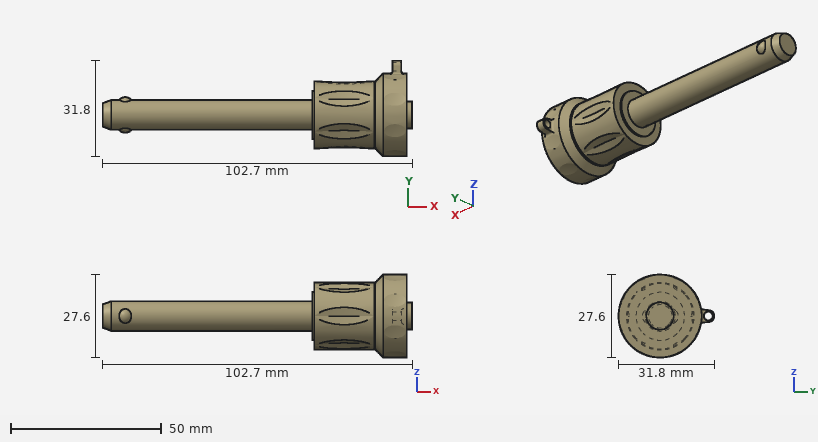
import cadquery as cq
import math

TOTAL_LENGTH = 102.7
WASHER_START = 69.5
SLEEVE_START = 70.1
SLEEVE_END = 90.1
CONE_START = 90.5
RIM_START = 93.0
HEAD_END = 101.0

SHANK_DIAMETER = 10.0
SHANK_RADIUS = SHANK_DIAMETER / 2
TIP_RADIUS = 3.9
WASHER_RADIUS = 8.0
SLEEVE_RADIUS = 11.2
GROOVE_RADIUS = 10.9
HEAD_DIAMETER = 27.6
HEAD_RADIUS = HEAD_DIAMETER / 2
BUTTON_RADIUS = 4.5

TIP_TAPER = 2.9

BALL_STATION = 7.5
BALL_RADIUS = 2.6
BALL_REACH = 6.0

FLUTE_COUNT = 6
FLUTE_LENGTH = 19.5
FLUTE_DEPTH = 0.9
FLUTE_HALF_WIDTH = 2.9

DIMPLE_COUNT = 8
DIMPLE_RADIUS = 19.0
DIMPLE_DEPTH = 0.34
DIMPLE_STATION = 97.0

EYE_CENTER_Y = 16.0
OVERALL_WIDTH_Y = 31.8
EYE_TIP_Y = OVERALL_WIDTH_Y - HEAD_RADIUS
EYE_HOLE_RADIUS = 1.4
EYE_START = 96.1
EYE_WIDTH = 3.0
EYE_ROOT_Y = 12.8
EYE_ROOT_HALF_HEIGHT = 2.4
EYE_FILLET = 0.7
JOINT_HALF_HEIGHT = 3.6
JOINT_MARGIN = 0.2


def sphere_at(radius, x, y):
    return cq.Workplane("XY").sphere(radius).translate((x, y, 0))


def about_axis(shape, angle):
    return shape.rotate((0, 0, 0), (1, 0, 0), angle)


def make_body():
    """Shank, washer, sleeve, head and button as one turned profile."""
    profile = [
        (0, 0),
        (0, TIP_RADIUS),
        (TIP_TAPER, SHANK_RADIUS),
        (WASHER_START, SHANK_RADIUS),
        (WASHER_START, WASHER_RADIUS),
        (SLEEVE_START, WASHER_RADIUS),
        (SLEEVE_START, SLEEVE_RADIUS),
        (SLEEVE_END, SLEEVE_RADIUS),
        (SLEEVE_END, GROOVE_RADIUS),
        (CONE_START, GROOVE_RADIUS),
        (CONE_START, SLEEVE_RADIUS),
        (RIM_START, HEAD_RADIUS),
        (HEAD_END, HEAD_RADIUS),
        (HEAD_END, BUTTON_RADIUS),
        (TOTAL_LENGTH, BUTTON_RADIUS),
        (TOTAL_LENGTH, 0),
    ]
    return cq.Workplane("XY").polyline(profile).close().revolve(360, (0, 0, 0), (1, 0, 0))


def add_eye(body):
    """Pierced, rounded lug whose root blends into the rim."""
    outer_radius = EYE_TIP_Y - EYE_CENTER_Y
    side = cq.Workplane("YZ", origin=(EYE_START, 0, 0))
    root_outline = [
        (EYE_ROOT_Y, -EYE_ROOT_HALF_HEIGHT),
        (EYE_CENTER_Y, -outer_radius),
        (EYE_CENTER_Y, outer_radius),
        (EYE_ROOT_Y, EYE_ROOT_HALF_HEIGHT),
    ]
    root = side.polyline(root_outline).close().extrude(EYE_WIDTH)
    ring = side.center(EYE_CENTER_Y, 0).circle(outer_radius).extrude(EYE_WIDTH)
    body = body.union(root.union(ring).clean())
    eye_middle = EYE_START + EYE_WIDTH / 2
    joint = cq.selectors.BoxSelector(
        (eye_middle - EYE_WIDTH, EYE_ROOT_Y, -JOINT_HALF_HEIGHT),
        (eye_middle + EYE_WIDTH, HEAD_RADIUS + JOINT_MARGIN, JOINT_HALF_HEIGHT),
    )
    body = body.edges(joint).fillet(EYE_FILLET)
    hole = side.center(EYE_CENTER_Y, 0).circle(EYE_HOLE_RADIUS).extrude(EYE_WIDTH)
    return body.cut(hole)


def make_flute():
    """Wheel-shaped cutter with a V rim, leaving a shallow groove with pointed ends."""
    half_length = FLUTE_LENGTH / 2
    sweep_radius = (half_length**2 + FLUTE_DEPTH**2) / (2 * FLUTE_DEPTH)
    middle = (SLEEVE_START + SLEEVE_END) / 2
    floor = SLEEVE_RADIUS - FLUTE_DEPTH
    pivot = floor + sweep_radius
    edge_radius = math.sqrt(SLEEVE_RADIUS**2 - FLUTE_HALF_WIDTH**2)
    flank_slope = (edge_radius - floor) / FLUTE_HALF_WIDTH
    half_wheel = 2 * FLUTE_HALF_WIDTH
    flank_end = floor + half_wheel * flank_slope
    section = [
        (floor, 0),
        (flank_end, half_wheel),
        (pivot, half_wheel),
        (pivot, -half_wheel),
        (flank_end, -half_wheel),
    ]
    plane = cq.Workplane("YZ", origin=(middle, 0, 0))
    wheel = plane.polyline(section).close().revolve(360, (pivot, 0, 0), (pivot, 1, 0))
    sleeve_zone = cq.Workplane("YZ", origin=(SLEEVE_START, 0, 0)).circle(2 * SLEEVE_RADIUS)
    return wheel.intersect(sleeve_zone.extrude(SLEEVE_END - SLEEVE_START))


def cut_flutes(body):
    flute = make_flute()
    for index in range(FLUTE_COUNT):
        body = body.cut(about_axis(flute, index * 360 / FLUTE_COUNT))
    return body


def cut_dimples(body):
    pitch = 360 / DIMPLE_COUNT
    cutter = sphere_at(DIMPLE_RADIUS, DIMPLE_STATION, HEAD_RADIUS - DIMPLE_DEPTH + DIMPLE_RADIUS)
    rim = cq.Workplane("YZ", origin=(RIM_START, 0, 0)).circle(2 * HEAD_RADIUS).extrude(HEAD_END - RIM_START)
    cutter = cutter.intersect(rim)
    for index in range(DIMPLE_COUNT):
        body = body.cut(about_axis(cutter, (index + 0.5) * pitch))
    return body


def add_balls(body):
    for side in (-1, 1):
        body = body.union(sphere_at(BALL_RADIUS, BALL_STATION, side * (BALL_REACH - BALL_RADIUS)))
    return body


result = add_balls(add_eye(cut_dimples(cut_flutes(make_body()))))